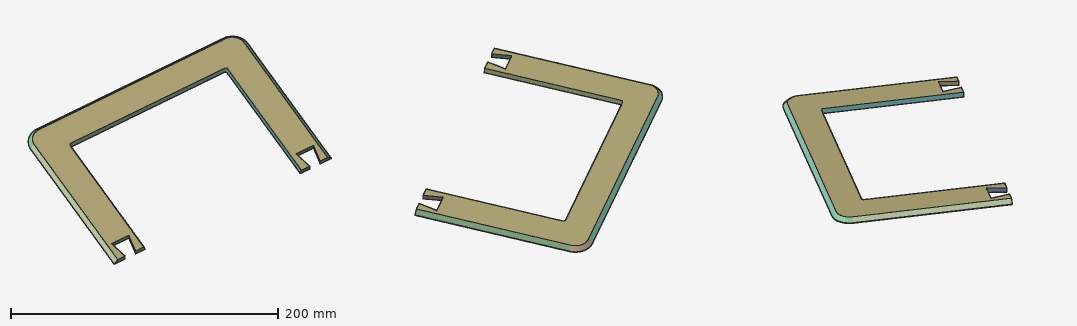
import cadquery as cq

length = 135.5
width = 189.0
thickness = 3.8

corner_radius = 13.5
outer_bevel = 3.2
lip_height = 0.5

rim_width = 27.0
inner_bevel = 1.0
inner_corner_radius = 1.5

socket_depth = 15.0
socket_back_width = 15.0
socket_mouth_width = 9.0
socket_edge_distance = 14.2


def u_side_profile(inset, radius, z):
    """Outline inset from the three closed sides, with rounded -X corners, as a wire at height z."""
    half = width / 2 - inset
    return (
        cq.Workplane("XY", origin=(0, 0, z))
        .moveTo(length, -half)
        .lineTo(inset + radius, -half)
        .radiusArc((inset, -half + radius), radius)
        .lineTo(inset, half - radius)
        .radiusArc((inset + radius, half), radius)
        .lineTo(length, half)
        .close()
        .val()
    )


def tapered_block(bottom, top):
    """Solid with straight sloping sides between two outlines."""
    return cq.Workplane(cq.Solid.makeLoft([bottom, top], True))


def dovetail_socket(center_y):
    back_x = length - socket_depth
    back_half = socket_back_width / 2
    mouth_half = socket_mouth_width / 2
    return (
        cq.Workplane("XY")
        .polyline([
            (back_x, center_y - back_half),
            (length, center_y - mouth_half),
            (length, center_y + mouth_half),
            (back_x, center_y + back_half),
        ])
        .close()
        .extrude(thickness)
    )


plate = tapered_block(
    u_side_profile(0, corner_radius, lip_height),
    u_side_profile(outer_bevel, corner_radius - outer_bevel, thickness),
)
lip = tapered_block(
    u_side_profile(0, corner_radius, 0),
    u_side_profile(0, corner_radius, lip_height),
)
plate = plate.union(lip)

opening = tapered_block(
    u_side_profile(rim_width, inner_corner_radius, 0),
    u_side_profile(rim_width - inner_bevel, inner_corner_radius, thickness),
)

result = plate.cut(opening)
for side in (-1, 1):
    result = result.cut(dovetail_socket(side * (width / 2 - socket_edge_distance)))